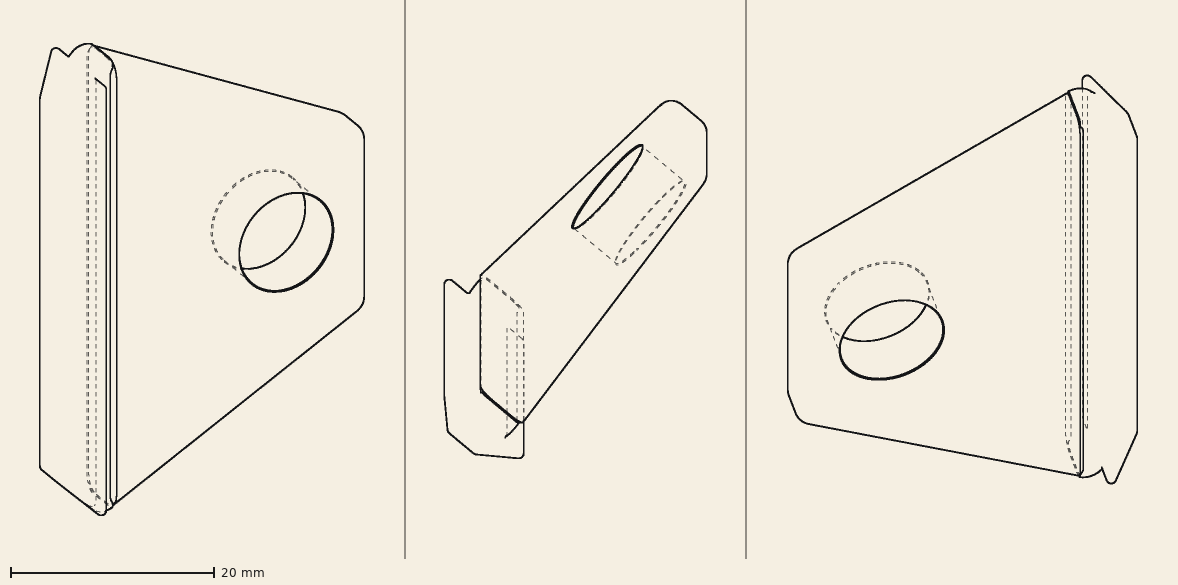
import cadquery as cq
import math

height = 50.0
depth = 34.8
head_width = 10.0

apex_radius = 2.0
head_end_angle = math.radians(45)
taper_angle = math.radians(27.6)
apex_centre_y = 5.25
back_corner_radius = 1.8

plate_thickness = 5.6
plate_start_y = 5.55
plate_edge_radius = 1.5
root_bevel = 0.6

neck_thickness = 4.7
neck_edge_radius = 0.5
neck_end_y = 6.0
neck_root_radius = 0.3

head_depth = 3.95
head_side_angle = math.radians(45)
head_edge_radius = 0.5
head_front_end_radius = 0.75

hole_diameter = 10.5
hole_y = 25.35
hole_chamfer = 0.1

half_height = height / 2
apex_centre_z = half_height - apex_radius
front_tangent_y = apex_centre_y - apex_radius * math.sin(head_end_angle)
front_tangent_z = apex_centre_z + apex_radius * math.cos(head_end_angle)
back_tangent_y = apex_centre_y + apex_radius * math.sin(taper_angle)
back_tangent_z = apex_centre_z + apex_radius * math.cos(taper_angle)


def head_end_z(y):
    """Height of the sloping head end at depth y."""
    return front_tangent_z + (y - front_tangent_y) * math.tan(head_end_angle)


def taper_z(y):
    """Height of the tapering plate edge at depth y."""
    return back_tangent_z - (y - back_tangent_y) * math.tan(taper_angle)


def side_slab(thickness):
    """Full side outline with rounded corners, centred on X = 0."""
    front_z = head_end_z(0)
    back_z = taper_z(depth)
    outline = (
        cq.Workplane("YZ")
        .moveTo(0, -front_z)
        .lineTo(front_tangent_y, -front_tangent_z)
        .threePointArc((apex_centre_y, -half_height), (back_tangent_y, -back_tangent_z))
        .lineTo(depth, -back_z)
        .lineTo(depth, back_z)
        .lineTo(back_tangent_y, back_tangent_z)
        .threePointArc((apex_centre_y, half_height), (front_tangent_y, front_tangent_z))
        .lineTo(0, front_z)
        .close()
    )
    slab = outline.extrude(thickness / 2, both=True)
    return slab.faces(">Y").edges("|X").fillet(back_corner_radius)


def depth_band(start_y, end_y):
    """Block that keeps only the material between two depths."""
    return cq.Workplane("XY").box(
        2 * head_width, end_y - start_y, 2 * height, centered=(True, False, True)
    ).translate((0, start_y, 0))


def make_plate():
    rounded = side_slab(plate_thickness).faces("<X or >X").fillet(plate_edge_radius)
    plate = rounded.intersect(depth_band(plate_start_y, depth))
    root_edges = plate.faces("<Y").edges("not |X")
    return root_edges.chamfer(root_bevel)


def make_neck():
    rounded = side_slab(neck_thickness).faces("<X or >X").fillet(neck_edge_radius)
    return rounded.intersect(depth_band(head_depth / 2, neck_end_y))


def make_head():
    tip_angle = math.pi / 4 + head_side_angle / 2
    half_back = head_width / 2 + head_edge_radius * (math.tan(tip_angle) - 1)
    half_front = half_back - head_depth * math.tan(head_side_angle)
    section = [
        (-half_front, 0),
        (half_front, 0),
        (half_back, head_depth),
        (-half_back, head_depth),
    ]
    prism = cq.Workplane("XY").polyline(section).close().extrude(half_height, both=True)
    front_z = head_end_z(0)
    back_z = head_end_z(head_depth)
    ends = [(0, -front_z), (head_depth, -back_z), (head_depth, back_z), (0, front_z)]
    wedge = cq.Workplane("YZ").polyline(ends).close().extrude(head_width, both=True)
    head = prism.intersect(wedge)
    head = head.faces("<Y").edges("|X").fillet(head_front_end_radius)
    return head.edges().fillet(head_edge_radius)


def cut_hole(body):
    """Bore the plate along X and break both rims of the bore."""
    bore = (
        cq.Workplane("YZ", origin=(-plate_thickness, hole_y, 0))
        .circle(hole_diameter / 2)
        .extrude(2 * plate_thickness)
    )
    box_margin = 0.5
    rims = cq.selectors.BoxSelector(
        (-plate_thickness, hole_y - box_margin, -box_margin),
        (plate_thickness, hole_y + box_margin, box_margin),
    )
    return body.cut(bore).edges("%CIRCLE").edges(rims).chamfer(hole_chamfer)


def fillet_neck_root(body):
    """Round the two inside corners where the neck meets the back of the head."""
    near_root = cq.selectors.BoxSelector(
        (-neck_thickness, head_depth - neck_root_radius, -half_height),
        (neck_thickness, head_depth + neck_root_radius, half_height),
    )
    return body.edges(near_root).edges("|Z").fillet(neck_root_radius)


blank = make_plate().union(make_neck()).union(make_head())
result = cut_hole(fillet_neck_root(blank))